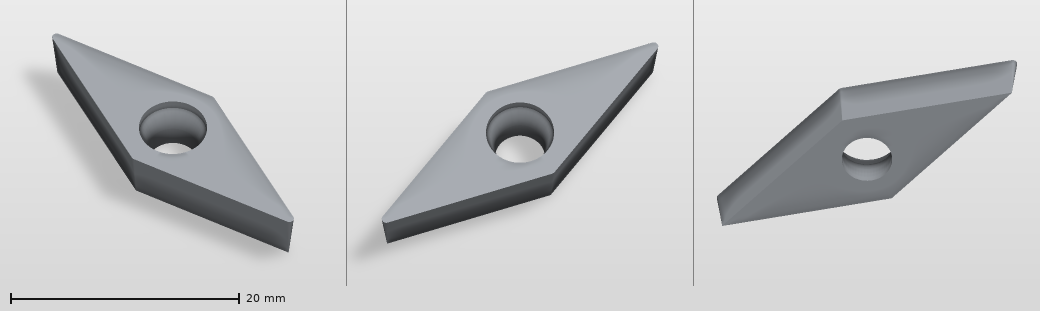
import cadquery as cq
import math

LENGTH = 28.47
THICKNESS = 4.75
POINT_ANGLE = 35.0
CLEARANCE_ANGLE = 5.0
NOSE_RADIUS = 0.4
BOTTOM_NOSE_RADIUS = 0.015

HEAD_DIAMETER = 5.98
HEAD_DEPTH = 0.88
BORE_DIAMETER = 4.4
SEAT_HEIGHT = 1.9

half_angle = math.radians(POINT_ANGLE / 2)
clearance_slope = math.tan(math.radians(CLEARANCE_ANGLE))

inscribed_radius = NOSE_RADIUS + (LENGTH / 2 - NOSE_RADIUS) * math.tan(half_angle)


def polar(radius, angle):
    return (radius * math.cos(angle), radius * math.sin(angle))


def rounded_rhombus(inradius, corner_radius, height):
    """Closed wire around a rhombus with all four corners rounded."""
    arcs = []
    for index in range(4):
        is_sharp = index % 2 == 0
        corner_half_angle = half_angle if is_sharp else math.pi / 2 - half_angle
        direction = half_angle + index * math.pi / 2
        center_x, center_y = polar((inradius - corner_radius) / math.sin(corner_half_angle), direction)
        spread = math.pi / 2 - corner_half_angle
        arc = []
        for turn in (-spread, 0, spread):
            dx, dy = polar(corner_radius, direction + turn)
            arc.append(cq.Vector(center_x + dx, center_y + dy, height))
        arcs.append(arc)

    edges = []
    for index, arc in enumerate(arcs):
        next_arc = arcs[(index + 1) % 4]
        edges.append(cq.Edge.makeThreePointArc(*arc))
        edges.append(cq.Edge.makeLine(arc[-1], next_arc[0]))
    return cq.Wire.assembleEdges(edges)


def make_body():
    """Tapered rhombus whose corner rounding fades out towards the bottom."""
    bottom_inradius = inscribed_radius - THICKNESS * clearance_slope
    bottom = rounded_rhombus(bottom_inradius, BOTTOM_NOSE_RADIUS, 0)
    top = rounded_rhombus(inscribed_radius, NOSE_RADIUS, THICKNESS)
    return cq.Workplane(obj=cq.Solid.makeLoft([bottom, top], True))


def make_screw_hole():
    """Cylindrical head recess, convex seat tangent to the bore, and through bore."""
    head_radius = HEAD_DIAMETER / 2
    bore_radius = BORE_DIAMETER / 2
    seat_width = head_radius - bore_radius
    seat_radius = (seat_width**2 + SEAT_HEIGHT**2) / (2 * seat_width)
    seat_top = THICKNESS - HEAD_DEPTH
    seat_bottom = seat_top - SEAT_HEIGHT
    half_sweep = math.asin(SEAT_HEIGHT / seat_radius) / 2
    seat_middle = (
        bore_radius + seat_radius * (1 - math.cos(half_sweep)),
        seat_bottom + seat_radius * math.sin(half_sweep),
    )
    return (
        cq.Workplane("XZ")
        .moveTo(0, 0)
        .lineTo(bore_radius, 0)
        .lineTo(bore_radius, seat_bottom)
        .threePointArc(seat_middle, (head_radius, seat_top))
        .lineTo(head_radius, THICKNESS)
        .lineTo(0, THICKNESS)
        .close()
        .revolve(360, (0, 0, 0), (0, 1, 0))
    )


result = make_body().cut(make_screw_hole())